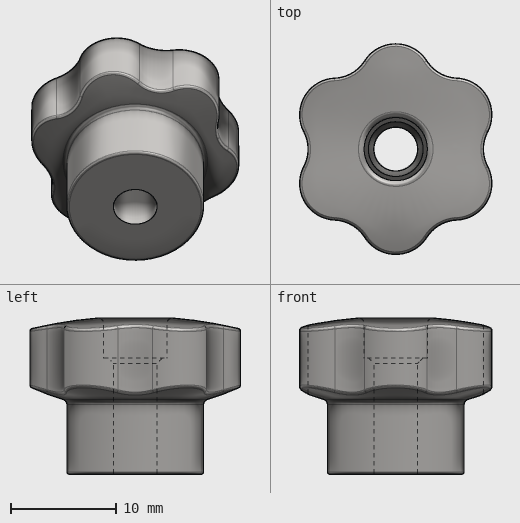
import cadquery as cq
import math

height = 14.85
tip_radius = 10.0
lobe_count = 6
lobe_radius = 3.5
valley_radius = 3.5
top_sphere_radius = 42.4
under_sphere_radius = 24.0
under_apex_height = 6.1
head_edge_fillet = 0.3
hub_radius = 13.0 / 2
hub_edge_fillet = 0.25
neck_fillet = 0.5
ring_overlap = 0.2
through_radius = 4.15 / 2
bore_radius = 6.0 / 2
bore_floor_height = 11.05
bore_rim_fillet = 0.55
countersink_radius = 5.2 / 2

half_pitch = math.pi / lobe_count
lobe_centre = tip_radius - lobe_radius
arc_centre_gap = lobe_radius + valley_radius
valley_centre = lobe_centre * math.cos(half_pitch) + math.sqrt(
    arc_centre_gap**2 - (lobe_centre * math.sin(half_pitch)) ** 2
)
valley_depth_radius = valley_centre - valley_radius
rim_radius = bore_radius + bore_rim_fillet
top_apex_height = (
    height + top_sphere_radius - math.sqrt(top_sphere_radius**2 - rim_radius**2)
)
countersink_depth = countersink_radius - through_radius
blank_radius = 1.1 * tip_radius


def polar(radius, angle):
    return (radius * math.cos(angle), radius * math.sin(angle))


def tangent_point(lobe_angle, valley_angle):
    """Point where a lobe arc passes smoothly into the neighbouring valley arc."""
    lobe = polar(lobe_centre, lobe_angle)
    valley = polar(valley_centre, valley_angle)
    share = lobe_radius / arc_centre_gap
    return tuple(a + (b - a) * share for a, b in zip(lobe, valley))


def head_prism():
    """Six-lobed star outline, with one lobe on +Y, extruded up to the dome apex."""
    first_lobe = math.pi / 2
    outline = cq.Workplane("XY").moveTo(*tangent_point(first_lobe, first_lobe - half_pitch))
    for i in range(lobe_count):
        lobe = first_lobe + 2 * half_pitch * i
        valley = lobe + half_pitch
        next_lobe = valley + half_pitch
        outline = outline.threePointArc(polar(tip_radius, lobe), tangent_point(lobe, valley))
        outline = outline.threePointArc(
            polar(valley_depth_radius, valley), tangent_point(next_lobe, valley)
        )
    return outline.close().extrude(top_apex_height)


def sphere_height(apex_height, sphere_radius, radius, direction):
    """Height of a spherical face at a radius; direction is +1 rising, -1 falling outward."""
    sag = sphere_radius - math.sqrt(sphere_radius**2 - radius**2)
    return apex_height + direction * sag


def head_envelope():
    """Lens-shaped turned body between the dome and the underside."""

    def top(radius):
        return (radius, sphere_height(top_apex_height, top_sphere_radius, radius, -1))

    def under(radius):
        return (radius, sphere_height(under_apex_height, under_sphere_radius, radius, 1))

    return (
        cq.Workplane("XZ")
        .moveTo(*under(0))
        .threePointArc(under(blank_radius / 2), under(blank_radius))
        .lineTo(*top(blank_radius))
        .threePointArc(top(blank_radius / 2), top(0))
        .close()
        .revolve(360, (0, 0), (0, 1))
    )


def head():
    body = head_prism().intersect(head_envelope())
    return body.edges("not |Z").fillet(head_edge_fillet)


def hub():
    """Cylinder reaching into the head, with its lower edge rounded."""
    return (
        cq.Workplane("XY")
        .circle(hub_radius)
        .extrude(bore_floor_height)
        .faces("<Z")
        .edges()
        .fillet(hub_edge_fillet)
    )


def neck():
    """Ring with a concave profile blending the hub into the underside."""
    arc_radius = hub_radius + neck_fillet
    sphere_centre = under_apex_height + under_sphere_radius
    reach = under_sphere_radius + neck_fillet
    arc_height = sphere_centre - math.sqrt(reach**2 - arc_radius**2)
    share = under_sphere_radius / reach
    touch = (arc_radius * share, sphere_centre + (arc_height - sphere_centre) * share)
    touch_angle = math.atan2(touch[1] - arc_height, touch[0] - arc_radius)
    middle_angle = (touch_angle + math.pi) / 2
    middle = (
        arc_radius + neck_fillet * math.cos(middle_angle),
        arc_height + neck_fillet * math.sin(middle_angle),
    )
    inner_radius = hub_radius - ring_overlap
    ring_top = touch[1] + ring_overlap
    return (
        cq.Workplane("XZ")
        .moveTo(inner_radius, arc_height)
        .lineTo(hub_radius, arc_height)
        .threePointArc(middle, touch)
        .lineTo(touch[0], ring_top)
        .lineTo(inner_radius, ring_top)
        .close()
        .revolve(360, (0, 0), (0, 1))
    )


def bore_cutter():
    """Through hole, countersink and wide upper bore with a rounded rim."""
    rim_start = height - bore_rim_fillet
    diagonal = bore_rim_fillet * math.sqrt(0.5)
    return (
        cq.Workplane("XZ")
        .moveTo(0, 0)
        .lineTo(through_radius, 0)
        .lineTo(through_radius, bore_floor_height - countersink_depth)
        .lineTo(countersink_radius, bore_floor_height)
        .lineTo(bore_radius, bore_floor_height)
        .lineTo(bore_radius, rim_start)
        .threePointArc((rim_radius - diagonal, rim_start + diagonal), (rim_radius, height))
        .lineTo(rim_radius, top_apex_height)
        .lineTo(0, top_apex_height)
        .close()
        .revolve(360, (0, 0), (0, 1))
    )


result = head().union(hub()).union(neck()).cut(bore_cutter())